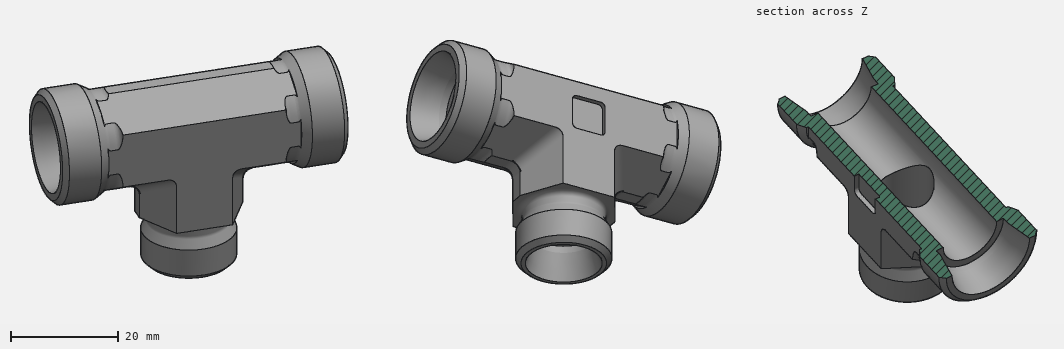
import cadquery as cq
import math

ARM_LENGTH = 28.0
ACROSS_FLATS = 19.05
ACROSS_CRESTS = 20.3
INNER_CORNER_RADIUS = 2.0
HEX_HALF_SECTOR = math.radians(30)
SELECTION_MARGIN = 0.05

RUN_DIAMETER = 22.0
LEG_DIAMETER = 18.0
LEG_NECK_DIAMETER = 15.7
NECK_DEPTH = (LEG_DIAMETER - LEG_NECK_DIAMETER) / 2
RUN_SHOULDER = 16.0
LEG_SHOULDER = 17.0
RUN_COLLAR_START = 20.65
LEG_COLLAR_START = 21.5
COLLAR_BACK_ANGLE = 30.0
NECK_FILLET = 1.0
COLLAR_CHAMFER = 1.0

RUN_BORE = 12.0
LEG_BORE = 10.0
RUN_TUBE = 15.0
LEG_TUBE = 12.0
SEAT_MOUTH_EXTRA = 2.35
SEAT_HALF_ANGLE = 12.0
SEAT_DEPTH = 7.0

RECESS_SIZE = 7.0
RECESS_CORNER_RADIUS = 1.0
RECESS_DEPTH = 1.0
RECESS_CENTRE_Z = -1.0

back_slope = math.tan(math.radians(COLLAR_BACK_ANGLE))
cone_fillet_setback = NECK_FILLET * math.tan(math.radians(COLLAR_BACK_ANGLE / 2))
fillet_bow = NECK_FILLET * (1 - math.sqrt(0.5))


def cone_fillet_end(diameter, collar_start):
    """Radius and axial position where the fillet runs into the collar's back cone."""
    angle = math.radians(COLLAR_BACK_ANGLE)
    radius = diameter / 2 - NECK_DEPTH + cone_fillet_setback * math.sin(angle)
    position = collar_start - (diameter / 2 - radius) / back_slope
    return radius, position


def turned_neck(diameter, shoulder, collar_start):
    """Neck along +Z, filleted into the shoulder and into the collar's back cone."""
    neck = diameter / 2 - NECK_DEPTH
    corner = collar_start - NECK_DEPTH / back_slope
    end_radius, end = cone_fillet_end(diameter, collar_start)
    half_angle = math.radians(COLLAR_BACK_ANGLE / 2)
    fillet_start = corner - cone_fillet_setback
    arc_middle = (
        neck + NECK_FILLET * (1 - math.cos(half_angle)),
        fillet_start + NECK_FILLET * math.sin(half_angle),
    )
    return (
        cq.Workplane("XZ")
        .moveTo(0, shoulder)
        .lineTo(neck + NECK_FILLET, shoulder)
        .threePointArc((neck + fillet_bow, shoulder + fillet_bow), (neck, shoulder + NECK_FILLET))
        .lineTo(neck, fillet_start)
        .threePointArc(arc_middle, (end_radius, end))
        .lineTo(0, end)
        .close()
        .revolve(360, (0, 0, 0), (0, 1, 0))
    )


def turned_collar(diameter, collar_start):
    """Collar along +Z with a back cone and a chamfered end face."""
    radius = diameter / 2
    cone_radius, cone_start = cone_fillet_end(diameter, collar_start)
    outline = [
        (0, cone_start),
        (cone_radius, cone_start),
        (radius, collar_start),
        (radius, ARM_LENGTH - COLLAR_CHAMFER),
        (radius - COLLAR_CHAMFER, ARM_LENGTH),
        (0, ARM_LENGTH),
    ]
    return cq.Workplane("XZ").polyline(outline).close().revolve(360, (0, 0, 0), (0, 1, 0))


def bore_cutter(bore, tube):
    """Through bore, stepped tube socket and conical mouth along +Z, starting at the origin."""
    mouth = tube + SEAT_MOUTH_EXTRA
    cone_length = SEAT_MOUTH_EXTRA / 2 / math.tan(math.radians(SEAT_HALF_ANGLE))
    outline = [
        (0, 0),
        (bore / 2, 0),
        (bore / 2, ARM_LENGTH - SEAT_DEPTH),
        (tube / 2, ARM_LENGTH - SEAT_DEPTH),
        (tube / 2, ARM_LENGTH - cone_length),
        (mouth / 2, ARM_LENGTH),
        (0, ARM_LENGTH),
    ]
    return cq.Workplane("XZ").polyline(outline).close().revolve(360, (0, 0, 0), (0, 1, 0))


def to_run_end(shape, side):
    """Turn a shape lying along +Z onto the run: side 1 is +Y, side -1 is -Y."""
    return shape.rotate((0, 0, 0), (1, 0, 0), -90 * side)


def to_leg(shape):
    return shape.rotate((0, 0, 0), (1, 0, 0), 180)


def hex_prism(length):
    """Hexagon along +Z with flats facing +X and -X and the two Y corners cut flat."""
    corner_diameter = ACROSS_FLATS / math.cos(HEX_HALF_SECTOR)
    hexagon = cq.Workplane("XY").transformed(rotate=(0, 0, math.degrees(HEX_HALF_SECTOR)))
    hexagon = hexagon.polygon(6, corner_diameter).extrude(length)
    crest_limit = cq.Workplane("XY").rect(ACROSS_FLATS, ACROSS_CRESTS).extrude(length)
    return hexagon.intersect(crest_limit)


def hex_body():
    """Hexagonal run and leg with filleted inner corners."""
    half_length = cone_fillet_end(RUN_DIAMETER, RUN_COLLAR_START)[1]
    run = hex_prism(2 * half_length).translate((0, 0, -half_length))
    body = to_run_end(run, 1).union(to_leg(hex_prism(LEG_SHOULDER))).clean()
    near = ACROSS_FLATS / 2 * math.tan(HEX_HALF_SECTOR)
    far = ACROSS_CRESTS / 2 + SELECTION_MARGIN
    for side in (1, -1):
        junction = cq.selectors.BoxSelector(
            (-ACROSS_FLATS, side * near, -far), (ACROSS_FLATS, side * far, -near)
        )
        body = body.edges(junction).fillet(INNER_CORNER_RADIUS)
    return body


def corner_relief():
    """Ring along +Z that turns the run's hexagon corners down to the neck."""
    end = cone_fillet_end(RUN_DIAMETER, RUN_COLLAR_START)[1]
    disc = cq.Workplane("XY").workplane(offset=RUN_SHOULDER).circle(ACROSS_FLATS)
    ring = disc.extrude(end - RUN_SHOULDER)
    return ring.cut(turned_neck(RUN_DIAMETER, RUN_SHOULDER, RUN_COLLAR_START))


def face_recess():
    """Rounded square cutter for the -X flat."""
    return (
        cq.Workplane("YZ", origin=(-ACROSS_FLATS / 2, 0, RECESS_CENTRE_Z))
        .rect(RECESS_SIZE, RECESS_SIZE)
        .extrude(RECESS_DEPTH)
        .edges("|X")
        .fillet(RECESS_CORNER_RADIUS)
    )


result = hex_body()
for side in (1, -1):
    result = result.cut(to_run_end(corner_relief(), side))
    result = result.union(to_run_end(turned_collar(RUN_DIAMETER, RUN_COLLAR_START), side))
result = result.union(to_leg(turned_neck(LEG_DIAMETER, LEG_SHOULDER, LEG_COLLAR_START)))
result = result.union(to_leg(turned_collar(LEG_DIAMETER, LEG_COLLAR_START)))

for side in (1, -1):
    result = result.cut(to_run_end(bore_cutter(RUN_BORE, RUN_TUBE), side))
result = result.cut(to_leg(bore_cutter(LEG_BORE, LEG_TUBE)))
result = result.cut(face_recess())